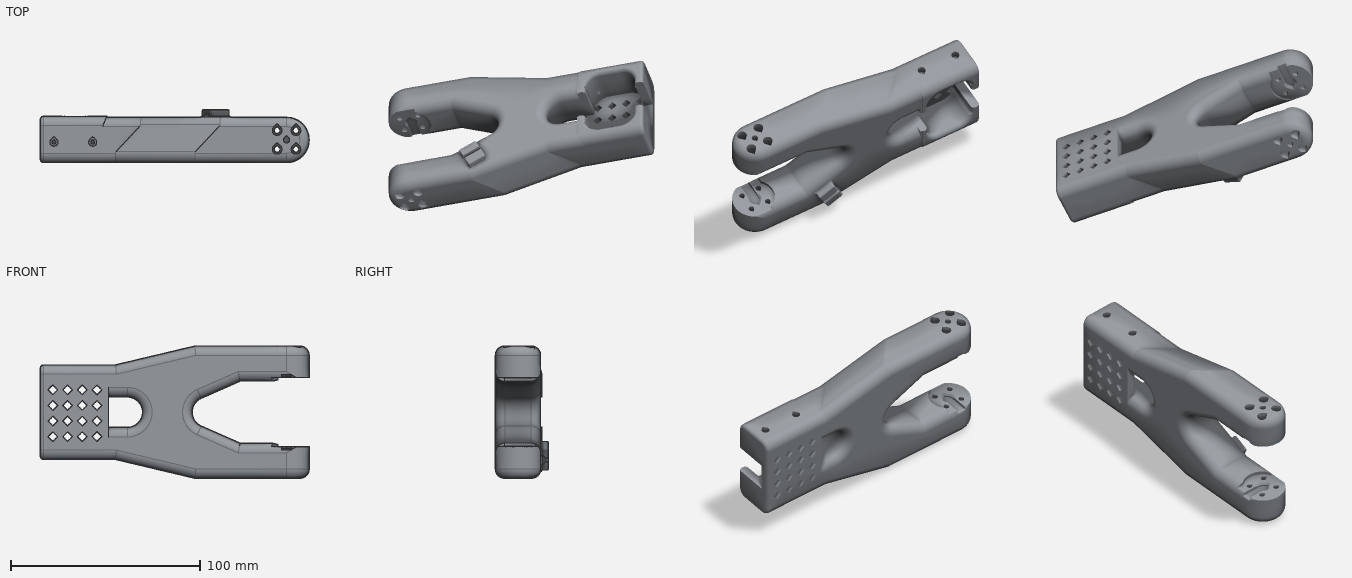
import cadquery as cq
import math

length = 142.2
thickness = 24.0
end_radius = thickness / 2
edge_radius = 5.0

overshoot = 1.4
tolerance = 0.1

block_half_height = 25.0
fork_half_height = 35.0
flank_start = 34.5
flank_end = 76.5
flank_lean = 0.94

gap_radius = 8.0
gap_center_x = 88.3
gap_kink_x = 105.6
gap_half_height = 16.3
rim_radius = 5.1

raised_back = 0.5
raised_back_end = 35.3
raised_back_taper = 2.1
block_end_radius = 1.8
front_plate = 5.0
slot_half_height = 8.0
window_start_x = 36.1
window_center_x = 46.0
diamond_diagonal = 5.0
diamond_count = 4
first_diamond_x = 6.7
last_diamond_x = 30.0
diamond_pitch_x = (last_diamond_x - first_diamond_x) / (diamond_count - 1)
diamond_pitch_z = 8.2
first_diamond_z = -13.0

cavity_start_x = 4.8
cavity_end_x = 31.8
cavity_half_height = 18.6
cavity_corner_radius = 8.0
cavity_rim_radius = 2.0

clamp_screw_xs = (7.3, 27.7)
clamp_screw_y = 10.8
clamp_head_radius = 2.1
clamp_head_depth = 4.3
clamp_hole_radius = 1.0

mount_x = length - end_radius
mount_y = thickness / 2
mount_half_height = 18.2
mount_radius = 10.5
mount_open_front = 7.8
mount_open_back = 4.4
mount_screw_offset = 5.0
mount_head_radius = 2.5
mount_head_depth = 8.5
mount_hole_radius = 3.0 / 2
pivot_hole_radius = 3.3 / 2
pivot_hole_depth = 5.7
horn_depth = 1.7
horn_radius = 2.5
horn_chamfer = 1.0

clip_length = 10.2
clip_width = 12.5
clip_height = 4.0
clip_center = (92.7, -23.0)
clip_angle = 26
clip_edge_radius = 0.7
clip_root = 2.8
clip_flare = 0.5
clip_neck_width = 2.1
clip_neck_depth = 1.3
clip_base_width = 5.4


def teardrop(radius, x, y, bottom, top, taper=0):
    """Vertical hole with a round bottom and a 45 degree roof pointing to +Y."""
    side = radius * math.sqrt(0.5)
    return (
        cq.Workplane("XY", origin=(x, y, bottom))
        .moveTo(-side, side)
        .threePointArc((0, -radius), (side, side))
        .lineTo(0, 2 * side)
        .close()
        .extrude(top - bottom, taper=taper)
    )


def both_legs(upper):
    """Adds the mirror image in the lower leg."""
    return upper.union(upper.mirror("XY"))


def front_plane():
    """Plane of the front face; a negative extrusion goes toward +Y."""
    return cq.Workplane("XZ")


def rim_edges(y, start_x, end_x):
    """Selects the edges at the given Y whose centers lie strictly between two X positions."""
    reach = 2 * fork_half_height
    return cq.selectors.BoxSelector(
        (start_x + tolerance, y - tolerance, -reach),
        (end_x - tolerance, y + tolerance, reach),
    )


def outline_corners(y):
    """Corners of the outer outline at a given Y."""
    start = flank_start + flank_lean * y
    end = flank_end + flank_lean * y
    upper = [
        (0, block_half_height),
        (start, block_half_height),
        (end, fork_half_height),
        (length, fork_half_height),
    ]
    lower = [(x, -z) for x, z in reversed(upper)]
    return [cq.Vector(x, y, z) for x, z in upper + lower]


def polygon_face(corners):
    return cq.Face.makeFromWires(cq.Wire.makePolygon(corners, close=True))


def make_outer_body():
    front = outline_corners(0)
    back = outline_corners(thickness)
    faces = [polygon_face(front), polygon_face(back)]
    for i in range(len(front)):
        faces.append(polygon_face([front[i - 1], front[i], back[i], back[i - 1]]))
    blank = cq.Workplane(cq.Solid.makeSolid(cq.Shell.makeShell(faces)))
    rounded_end = (
        cq.Workplane("XY", origin=(0, 0, -fork_half_height))
        .lineTo(mount_x, 0)
        .threePointArc((length, mount_y), (mount_x, thickness))
        .lineTo(0, thickness)
        .close()
        .extrude(2 * fork_half_height)
    )
    body = blank.intersect(rounded_end)
    rims = rim_edges(0, 0, mount_x) + rim_edges(thickness, 0, mount_x)
    return body.edges(rims).fillet(edge_radius)


def make_raised_back():
    back = thickness + raised_back
    return (
        cq.Workplane("XY", origin=(0, 0, -block_half_height))
        .polyline([
            (0, mount_y),
            (raised_back_end - raised_back_taper, mount_y),
            (raised_back_end - raised_back_taper, back - edge_radius),
            (raised_back_end, back),
            (0, back),
        ])
        .close()
        .extrude(2 * block_half_height)
        .faces(">Y")
        .edges("|X")
        .fillet(edge_radius)
    )


def make_inner_envelope():
    """Large plate holding the fork gap and the window, both with rounded rims."""
    kink_distance = math.hypot(gap_kink_x - gap_center_x, gap_half_height)
    kink_angle = math.atan2(gap_half_height, gap_kink_x - gap_center_x)
    tangent_angle = kink_angle + math.acos(gap_radius / kink_distance)
    tangent_x = gap_center_x + gap_radius * math.cos(tangent_angle)
    tangent_z = gap_radius * math.sin(tangent_angle)
    far_x = length + overshoot
    gap = (
        front_plane()
        .moveTo(far_x, gap_half_height)
        .lineTo(gap_kink_x, gap_half_height)
        .lineTo(tangent_x, tangent_z)
        .threePointArc((gap_center_x - gap_radius, 0), (tangent_x, -tangent_z))
        .lineTo(gap_kink_x, -gap_half_height)
        .lineTo(far_x, -gap_half_height)
        .close()
        .extrude(-thickness)
    )
    window = (
        front_plane()
        .moveTo(window_start_x, slot_half_height)
        .lineTo(window_center_x, slot_half_height)
        .threePointArc((window_center_x + slot_half_height, 0), (window_center_x, -slot_half_height))
        .lineTo(window_start_x, -slot_half_height)
        .close()
        .extrude(-thickness)
    )
    plate = front_plane().rect(2 * far_x, 4 * fork_half_height).extrude(-thickness).cut(gap).cut(window)
    rims = rim_edges(0, window_start_x, far_x) + rim_edges(thickness, window_start_x, far_x)
    return plate.edges(rims).fillet(rim_radius)


def make_slot():
    return cq.Workplane().box(
        window_start_x + overshoot,
        thickness,
        2 * slot_half_height,
        centered=(False, False, True),
    ).translate((-overshoot, front_plate, 0))


def make_cavity():
    cavity_length = cavity_end_x - cavity_start_x
    return (
        cq.Workplane()
        .box(cavity_length, thickness, 2 * cavity_half_height, centered=(False, False, True))
        .edges("|Y")
        .fillet(cavity_corner_radius)
        .translate((cavity_start_x, front_plate, 0))
    )


def make_diamonds():
    centers = [
        (first_diamond_x + column * diamond_pitch_x, first_diamond_z + row * diamond_pitch_z)
        for column in range(diamond_count)
        for row in range(diamond_count)
    ]
    side = diamond_diagonal / math.sqrt(2)
    sketch = cq.Sketch().push(centers).rect(side, side, angle=45)
    return front_plane().placeSketch(sketch).extrude(-2 * thickness)


def make_clamp_screws():
    """Headed screw holes through the upper wall of the block."""
    head_floor = block_half_height - clamp_head_depth
    holes = cq.Workplane()
    for x in clamp_screw_xs:
        holes = holes.add(teardrop(clamp_head_radius, x, clamp_screw_y, head_floor, block_half_height))
        holes = holes.add(teardrop(clamp_hole_radius, x, clamp_screw_y, 0, block_half_height))
    return holes.combine()


def make_mount_recess():
    """Flat seat on the inner side of the upper leg tip."""
    disc = cq.Workplane().center(mount_x, mount_y).circle(mount_radius).extrude(mount_half_height)
    size = 2 * end_radius
    front_tip = cq.Workplane().box(size, mount_y, mount_half_height, centered=False)
    back_tip = front_tip.translate((mount_x - mount_open_back, mount_y, 0))
    front_tip = front_tip.translate((mount_x - mount_open_front, 0, 0))
    return disc.union(front_tip).union(back_tip)


def make_horn_pocket():
    """Chamfered pocket with a groove that leaves through the front of the upper leg."""
    top = mount_half_height + horn_depth
    groove = cq.Workplane().box(
        2 * horn_radius, mount_y + overshoot, top, centered=(True, False, False)
    ).translate((mount_x, -overshoot, 0))
    pocket = teardrop(horn_radius, mount_x, mount_y, 0, top)
    chamfer = teardrop(
        horn_radius + horn_chamfer,
        mount_x,
        mount_y,
        mount_half_height,
        mount_half_height + horn_chamfer,
        taper=45,
    )
    return pocket.union(chamfer).union(groove)


def make_mount_screws():
    outside = fork_half_height
    holes = teardrop(pivot_hole_radius, mount_x, mount_y, outside - pivot_hole_depth, outside)
    for dx in (-mount_screw_offset, mount_screw_offset):
        for dy in (-mount_screw_offset, mount_screw_offset):
            x = mount_x + dx
            y = mount_y + dy
            holes = holes.union(teardrop(mount_head_radius, x, y, outside - mount_head_depth, outside))
            holes = holes.union(teardrop(mount_hole_radius, x, y, 0, outside))
    return holes


def make_clip():
    """Rounded pad with a through channel that is wide at the root and narrow at the mouth."""
    pad = (
        cq.Workplane()
        .box(clip_length, clip_height + clip_root, clip_width, centered=(True, False, True))
        .edges("|Y or >Y")
        .fillet(clip_edge_radius)
    )
    root = clip_root
    mouth = clip_root + clip_height
    neck = mouth - clip_neck_depth
    neck_half = clip_neck_width / 2
    base_half = clip_base_width / 2
    shoulder = neck - (base_half - neck_half)
    channel = (
        cq.Workplane("YZ", origin=(-clip_length, 0, 0))
        .polyline([
            (root, -base_half),
            (shoulder, -base_half),
            (neck, -neck_half),
            (mouth, -neck_half),
            (mouth, neck_half),
            (neck, neck_half),
            (shoulder, base_half),
            (root, base_half),
        ])
        .close()
        .extrude(2 * clip_length)
    )
    flare = (
        cq.Workplane("XZ", origin=(0, clip_root, 0))
        .rect(clip_length + 2 * clip_flare, clip_width + 2 * clip_flare)
        .workplane(offset=-clip_flare)
        .rect(clip_length, clip_width)
        .loft()
    )
    pad = pad.union(flare)
    x, z = clip_center
    return (
        pad.cut(channel)
        .rotate((0, 0, 0), (0, 1, 0), clip_angle)
        .translate((x, thickness - clip_root, z))
    )


body = make_outer_body().intersect(make_inner_envelope()).union(make_raised_back())
body = body.faces("<X").edges().fillet(block_end_radius)

body = body.cut(make_cavity())
cavity_rim = rim_edges(thickness + raised_back, cavity_start_x - overshoot, cavity_end_x + overshoot)
body = body.edges(cavity_rim).fillet(cavity_rim_radius)
body = body.cut(make_slot()).cut(make_diamonds()).cut(make_clamp_screws())

for make_cutter in (make_mount_recess, make_horn_pocket, make_mount_screws):
    body = body.cut(both_legs(make_cutter()))
result = body.union(make_clip()).solids()